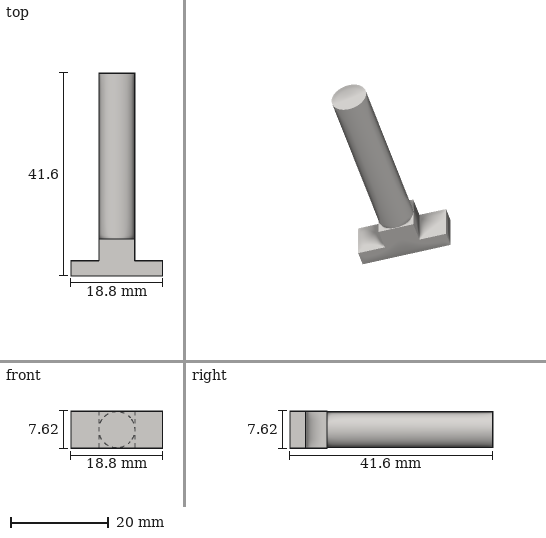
import cadquery as cq

head_width = 18.8
head_height = 7.62
head_length = 7.62
plate_thickness = 3.2

shank_diameter = 7.4
shank_length = 34.0

neck_width = shank_diameter


def make_head():
    """T-shaped head, centred on the shank axis, front face at Y = 0."""
    plate = cq.Workplane("XY").box(
        head_width, plate_thickness, head_height, centered=(True, False, True)
    )
    neck = cq.Workplane("XY").box(
        neck_width, head_length, head_height, centered=(True, False, True)
    )
    return plate.union(neck)


def make_shank():
    """Round shank running along +Y from the back of the neck."""
    return (
        cq.Workplane("XZ", origin=(0, head_length, 0))
        .circle(shank_diameter / 2)
        .extrude(-shank_length)
    )


result = make_head().union(make_shank())